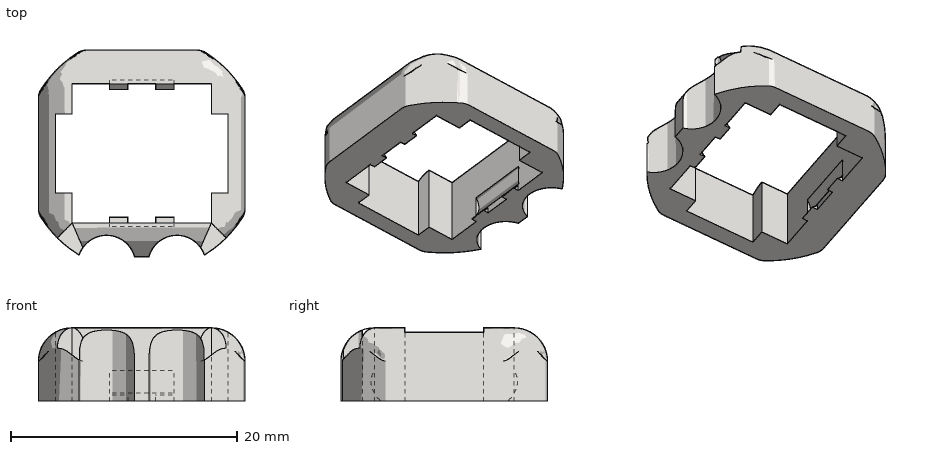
import cadquery as cq
import math

side = 18.3
height = 6.5
round_radius = 3.0
half = side / 2
opening = side - 2 * round_radius
inner_half = opening / 2

corner_setback = 4.3
bow_inset = 1.68
facet_near = 0.35
facet_far = 3.33
crown_drop = 1.81
arch_fullness = 1.2
curve_steps = 8
fill_shares = (0.3, 0.5, 0.7, 0.85)

notch_width = 15.23
notch_length = 6.95

scallop_radius = 2.56
scallop_x = 3.11
scallop_y = -9.8

recess_length = 5.75
recess_bottom = 0.71
recess_top = 2.73
recess_depth = 0.33
tab_width = 1.63
tab_x = 2.05
tab_reach = 0.51
tab_height = 0.55
wall_overlap = 0.1


def corner_point(inset_x, inset_y, z=0):
    """Point given by its insets from the -X and -Y sides."""
    return cq.Vector(inset_x - half, inset_y - half, z)


def half_corner_plan():
    """Two arcs from the -X side to the diagonal: small blend, then bowed wall."""
    blend_sweep = 2 * math.atan2(facet_near, corner_setback - facet_far)
    blend_radius = facet_near / (1 - math.cos(blend_sweep))
    blend_mid = corner_point(
        blend_radius * (1 - math.cos(blend_sweep / 2)),
        corner_setback - blend_radius * math.sin(blend_sweep / 2),
    )
    start = corner_point(0, corner_setback)
    facet_end = corner_point(facet_near, facet_far)
    mirrored_end = corner_point(facet_far, facet_near)
    crown = corner_point(bow_inset, bow_inset)
    blend = cq.Edge.makeThreePointArc(start, blend_mid, facet_end)
    bowed_wall = cq.Edge.makeThreePointArc(facet_end, crown, mirrored_end)
    half_wall = cq.Edge.makeThreePointArc(facet_end, bowed_wall.positionAt(0.25), crown)
    return blend, half_wall


def wall_top(point):
    """Point straight above a plan point, where the corner wall meets the roundover."""
    across = abs(point.x - point.y) / corner_setback
    fall = (1 - math.cos(math.pi * across**arch_fullness)) / 2
    drop = crown_drop + (round_radius - crown_drop) * fall
    return cq.Vector(point.x, point.y, height - drop)


def roundover_point(apex, rim, angle):
    """Point on the quarter ellipse falling from the apex to the rim."""
    outward = math.sin(angle)
    return cq.Vector(
        apex.x + (rim.x - apex.x) * outward,
        apex.y + (rim.y - apex.y) * outward,
        rim.z + (apex.z - rim.z) * math.cos(angle),
    )


def roundover_edge(apex, rim):
    angles = [math.pi / 2 * i / curve_steps for i in range(curve_steps + 1)]
    points = [roundover_point(apex, rim, angle) for angle in angles]
    return cq.Edge.makeSpline(points)


def half_corner():
    """Solid from the opening corner out to one half of the corner wall."""
    apex = corner_point(round_radius, round_radius, height)
    base = corner_point(round_radius, round_radius)
    parameters = [i / curve_steps for i in range(curve_steps + 1)]
    floor_edges = []
    rim_edges = []
    crest_points = []
    for arc in half_corner_plan():
        plan = [arc.positionAt(p) for p in parameters]
        rim = [wall_top(p) for p in plan]
        floor_edges.append(cq.Edge.makeSpline(plan, parameters=parameters))
        rim_edges.append(cq.Edge.makeSpline(rim, parameters=parameters))
        for target in rim[2:-1:2]:
            for share in fill_shares:
                crest_points.append(roundover_point(apex, target, share * math.pi / 2))

    side_floor, crown_floor = floor_edges[0].startPoint(), floor_edges[-1].endPoint()
    side_rim, crown_rim = rim_edges[0].startPoint(), rim_edges[-1].endPoint()
    side_curve = roundover_edge(apex, side_rim)
    ridge = roundover_edge(apex, crown_rim)
    post = cq.Edge.makeLine(base, apex)
    side_base = cq.Edge.makeLine(base, side_floor)
    crown_base = cq.Edge.makeLine(base, crown_floor)
    side_post = cq.Edge.makeLine(side_floor, side_rim)
    crown_post = cq.Edge.makeLine(crown_floor, crown_rim)

    faces = [cq.Face.makeRuledSurface(f, r) for f, r in zip(floor_edges, rim_edges)]
    outlines = (
        [side_base, *floor_edges, crown_base],
        [post, side_curve, side_post, side_base],
        [post, ridge, crown_post, crown_base],
    )
    for outline in outlines:
        faces.append(cq.Face.makeFromWires(cq.Wire.combine(outline)[0]))
    faces.append(cq.Face.makeNSidedSurface([side_curve, *rim_edges, ridge], crest_points))
    shell = cq.Shell.makeShell(faces)
    return cq.Workplane(cq.Solid.makeSolid(shell).fix())


def four_corners(piece):
    """Copy a piece of the -X -Y corner to all four corners."""
    pair = piece.union(piece.mirror("YZ"))
    return pair.union(pair.mirror("XZ"))


def outer_body():
    block = cq.Workplane().box(side, side, height, centered=(True, True, False))
    rounded = block.edges("|X and >Z or |Y and >Z").fillet(round_radius)
    blank_points = [
        corner_point(round_radius, round_radius),
        corner_point(0, corner_setback),
        corner_point(0, 0),
        corner_point(corner_setback, 0),
    ]
    blank = cq.Workplane().polyline([p.toTuple()[:2] for p in blank_points]).close().extrude(height)
    first_half = half_corner()
    diagonal_normal = (-1, 1, 0)
    second_half = first_half.mirror(diagonal_normal)
    corner = first_half.union(second_half)
    return rounded.cut(four_corners(blank)).union(four_corners(corner))


def inner_opening():
    square = cq.Workplane().rect(opening, opening).extrude(height)
    notch = cq.Workplane().rect(notch_width, notch_length).extrude(height)
    return square.union(notch)


def scallops():
    centres = [(-scallop_x, scallop_y), (scallop_x, scallop_y)]
    return cq.Workplane().pushPoints(centres).circle(scallop_radius).extrude(height)


def recess():
    """Shallow cylindrical hollow in the inner +Y wall."""
    middle = (recess_bottom + recess_top) / 2
    return (
        cq.Workplane("YZ")
        .moveTo(inner_half, recess_bottom)
        .threePointArc((inner_half + recess_depth, middle), (inner_half, recess_top))
        .close()
        .extrude(recess_length / 2, both=True)
    )


def tab(x):
    """Wedge tab at the foot of the inner +Y wall."""
    root = inner_half + wall_overlap
    outline = [
        (root, 0),
        (inner_half, 0),
        (inner_half - tab_reach, tab_height - tab_reach),
        (inner_half, tab_height),
        (root, tab_height),
    ]
    wedge = cq.Workplane("YZ").polyline(outline).close().extrude(tab_width / 2, both=True)
    return wedge.translate((x, 0, 0))


result = outer_body().cut(inner_opening()).cut(scallops())
hollow = recess()
result = result.cut(hollow).cut(hollow.mirror("XZ"))
for x in (-tab_x, tab_x):
    wedge = tab(x)
    result = result.union(wedge).union(wedge.mirror("XZ"))
result = result.solids()